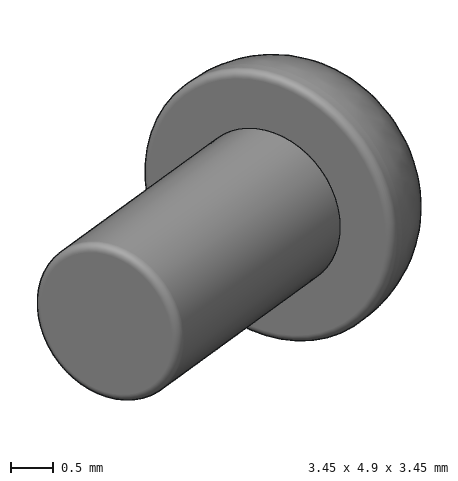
import cadquery as cq

total_length = 4.9
head_diameter = 3.45
head_height = 1.3
shank_diameter = 2.0
crown_diameter = shank_diameter
edge_round = 0.1
band_height = 0.11

head_radius = head_diameter / 2
crown_radius = crown_diameter / 2
shank_radius = shank_diameter / 2
shank_length = total_length - head_height
dome_start = shank_length + edge_round + band_height

dome_height = total_length - dome_start
dome_inset = head_radius - crown_radius

half_section = (
    cq.Workplane("XY")
    .lineTo(shank_radius - edge_round, 0)
    .tangentArcPoint((shank_radius, edge_round), relative=False)
    .lineTo(shank_radius, shank_length)
    .lineTo(head_radius - edge_round, shank_length)
    .tangentArcPoint((head_radius, shank_length + edge_round), relative=False)
    .lineTo(head_radius, dome_start)
    .ellipseArc(dome_inset, dome_height, angle1=0, angle2=90)
    .lineTo(0, total_length)
    .close()
)

result = half_section.revolve(360, (0, 0, 0), (0, 1, 0))